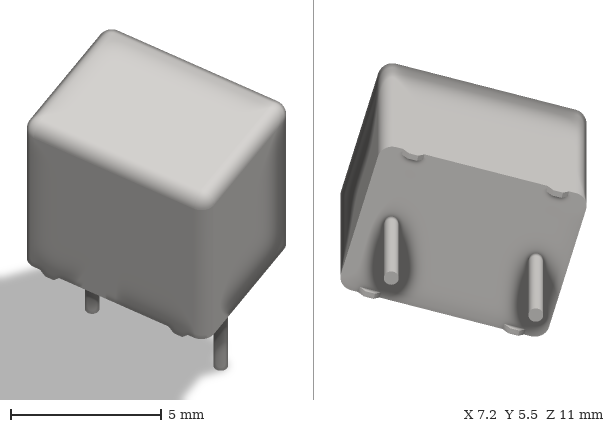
import cadquery as cq

total_height = 11.0
case_length = 7.2
case_width = 5.5
case_height = 6.79
edge_radius = 0.5

lead_diameter = 0.5
lead_spacing = 5.0
lead_length = total_height - case_height

foot_height = 0.22
foot_root_length = 0.75
foot_tip_length = 0.33
foot_thickness = 0.2

lead_positions = [-lead_spacing / 2, lead_spacing / 2]


def make_foot(x, side):
    """Trapezoidal foot at x, flush with the +Y (side=1) or -Y (side=-1) wall."""
    profile = [
        (x - foot_root_length / 2, 0),
        (x + foot_root_length / 2, 0),
        (x + foot_tip_length / 2, -foot_height),
        (x - foot_tip_length / 2, -foot_height),
    ]
    return (
        cq.Workplane("XZ", origin=(0, side * case_width / 2, 0))
        .polyline(profile)
        .close()
        .extrude(side * foot_thickness)
    )


def make_case():
    """Block with rounded top and upright edges, standing on four feet."""
    case = (
        cq.Workplane("XY")
        .box(case_length, case_width, case_height, centered=(True, True, False))
        .edges("|Z or >Z")
        .fillet(edge_radius)
    )
    for x in lead_positions:
        for side in (-1, 1):
            case = case.union(make_foot(x, side), clean=False)
    return case


def make_lead(x):
    """Round lead hanging from the case underside."""
    return (
        cq.Workplane("XY", origin=(x, 0, 0))
        .circle(lead_diameter / 2)
        .extrude(-lead_length)
    )


case = make_case()
leads = [make_lead(x) for x in lead_positions]

result = cq.Compound.makeCompound([case.val(), *[lead.val() for lead in leads]])